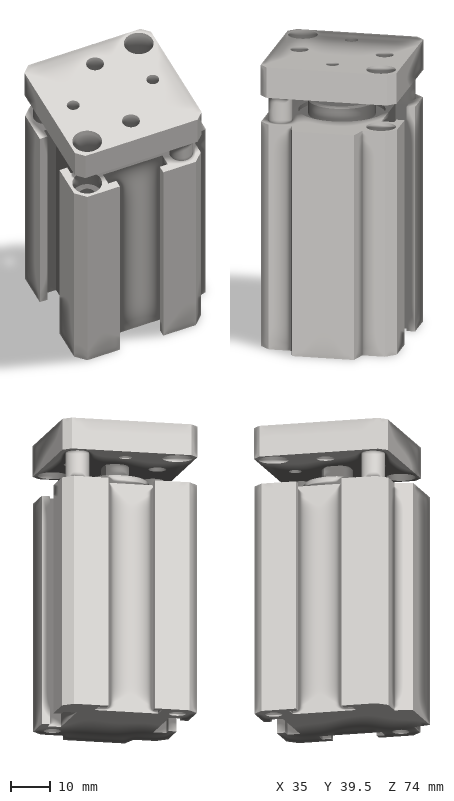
import cadquery as cq

total_height = 74.0
body_width = 35.0
plate_thickness = 8.0
plate_gap = 7.0
housing_height = total_height - plate_thickness - plate_gap
plate_bottom = housing_height + plate_gap

housing_chamfer = 2.5
rail_height = 4.5
rail_tip_width = 16.0
rail_root_width = 18.35
slot_opening = 12.0
slot_lip = 2.15
slot_undercut = 2.2
slot_depth = 5.5

corner_pitch = 26.0
corner_offset = corner_pitch / 2
bolt_hole_diameter = 4.3
bolt_head_diameter = 7.5
bolt_head_depth = 4.3
guide_diameter = 6.0

recess_diameter = 22.0
recess_depth = 1.0
collar_diameter = 17.0
collar_height = 3.1
collar_chamfer = 0.5
collar_top = housing_height + collar_height

rod_diameter = 8.0
rod_chamfer = 0.5
flat_width = 6.0
flat_start = 1.0

plate_chamfer = 2.0
plate_hole_pitch = 22.0
plate_hole_offset = plate_hole_pitch / 2
large_hole_diameter = 4.5
small_hole_diameter = 3.25

bolt_positions = [(-corner_offset, corner_offset), (corner_offset, -corner_offset)]
guide_positions = [(-corner_offset, -corner_offset), (corner_offset, corner_offset)]


def chamfered_block(height, corner_chamfer):
    """Square block standing on z = 0 with its four upright edges chamfered."""
    block = cq.Workplane("XY").rect(body_width, body_width).extrude(height)
    return block.edges("|Z").chamfer(corner_chamfer)


def mounting_rail():
    """Full-height rail with sloping flanks on the +Y face."""
    root_y = body_width / 2
    tip_y = root_y + rail_height
    outline = [
        (-rail_root_width / 2, root_y),
        (rail_root_width / 2, root_y),
        (rail_tip_width / 2, tip_y),
        (-rail_tip_width / 2, tip_y),
    ]
    return cq.Workplane("XY").polyline(outline).close().extrude(housing_height)


def t_slot():
    """Full-height T-slot cutter for the -Y face."""
    face_y = -body_width / 2
    channel_depth = slot_depth - slot_lip
    channel_width = slot_opening + 2 * slot_undercut
    opening = (
        cq.Workplane("XY")
        .center(0, face_y + slot_depth / 2)
        .rect(slot_opening, slot_depth)
        .extrude(housing_height)
    )
    channel = (
        cq.Workplane("XY")
        .center(0, face_y + slot_lip + channel_depth / 2)
        .rect(channel_width, channel_depth)
        .extrude(housing_height)
    )
    return opening.union(channel)


def make_housing():
    """Slotted housing with its rail, bolt holes and the rod collar in a shallow recess."""
    housing = chamfered_block(housing_height, housing_chamfer).union(mounting_rail())

    for angle in (0, 90, -90):
        housing = housing.cut(t_slot().rotate((0, 0, 0), (0, 0, 1), angle))

    housing = (
        housing.faces(">Z")
        .workplane(origin=(0, 0, housing_height))
        .pushPoints(bolt_positions)
        .cboreHole(bolt_hole_diameter, bolt_head_diameter, bolt_head_depth)
    )

    recess_floor = cq.Workplane("XY", origin=(0, 0, housing_height - recess_depth))
    recess = recess_floor.circle(recess_diameter / 2).extrude(recess_depth)
    collar = (
        recess_floor.circle(collar_diameter / 2)
        .extrude(recess_depth + collar_height)
        .faces(">Z")
        .chamfer(collar_chamfer)
    )
    return housing.cut(recess).union(collar)


def piston_rod():
    """Rod from the collar to the plate, with two wrench flats facing +X and -X."""
    rod_length = plate_bottom - collar_top
    rod = (
        cq.Workplane("XY", origin=(0, 0, collar_top))
        .circle(rod_diameter / 2)
        .extrude(rod_length)
        .faces(">Z")
        .chamfer(rod_chamfer)
    )
    round_part = (
        cq.Workplane("XY", origin=(0, 0, collar_top))
        .rect(rod_diameter, rod_diameter)
        .extrude(flat_start)
    )
    flat_part = (
        cq.Workplane("XY", origin=(0, 0, collar_top))
        .rect(flat_width, rod_diameter)
        .extrude(rod_length)
    )
    return rod.intersect(round_part.union(flat_part))


def tool_plate():
    """Plate with bolt access holes in two corners and four holes around its centre."""
    plate = chamfered_block(plate_thickness, plate_chamfer).translate((0, 0, plate_bottom))
    hole_groups = [
        (bolt_positions, bolt_head_diameter),
        ([(-plate_hole_offset, 0), (plate_hole_offset, 0)], large_hole_diameter),
        ([(0, -plate_hole_offset), (0, plate_hole_offset)], small_hole_diameter),
    ]
    for positions, diameter in hole_groups:
        holes = (
            cq.Workplane("XY", origin=(0, 0, plate_bottom))
            .pushPoints(positions)
            .circle(diameter / 2)
            .extrude(plate_thickness)
        )
        plate = plate.cut(holes)
    return plate


def make_carriage():
    """Moving body: tool plate, piston rod and the two guide pins."""
    guides = (
        cq.Workplane("XY", origin=(0, 0, housing_height))
        .pushPoints(guide_positions)
        .circle(guide_diameter / 2)
        .extrude(plate_gap)
    )
    return tool_plate().union(piston_rod()).union(guides)


housing = make_housing()
carriage = make_carriage()

result = cq.Compound.makeCompound([housing.val(), carriage.val()])